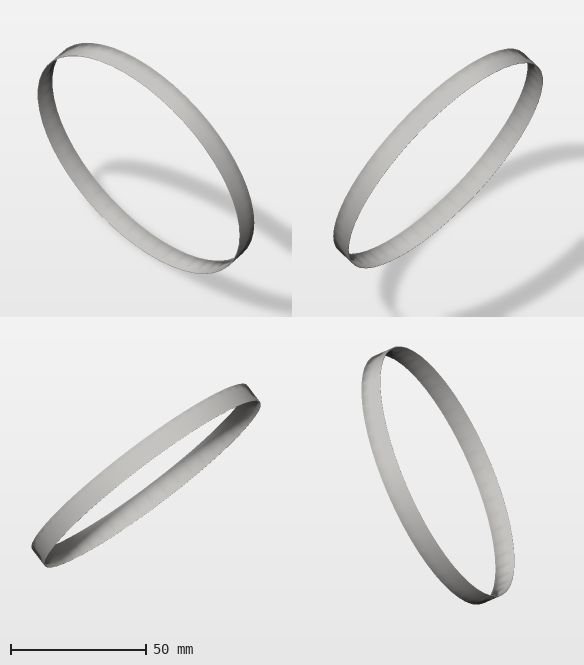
import cadquery as cq

outer_diameter = 100.0
wall_thickness = 0.25
band_width = 8.0

outer_radius = outer_diameter / 2
inner_radius = outer_radius - wall_thickness

result = (
    cq.Workplane("XZ", origin=(0, band_width / 2, 0))
    .circle(outer_radius)
    .circle(inner_radius)
    .extrude(band_width)
)